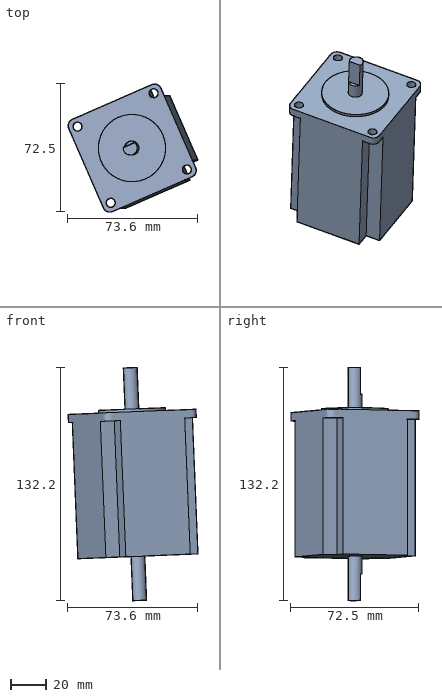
import cadquery as cq

spin_angle = 23.6
lean_angle = 2.33

flange_width = 57.0
flange_thickness = 4.8
flange_corner_radius = 4.0
hole_spacing = 47.1
hole_diameter = 5.0
pilot_diameter = 38.1
pilot_height = 1.6

motor_length = 82.0
body_width = flange_width
notch_size = 8.6
body_length = motor_length - flange_thickness

shaft_diameter = 8.0
shaft_extension = 25.0
flat_length = 15.1
flat_offset = 2.0
shaft_length = motor_length + 2 * shaft_extension
shaft_bottom = -motor_length - shaft_extension


def make_flange():
    plate = (
        cq.Workplane("XY")
        .rect(flange_width, flange_width)
        .extrude(-flange_thickness)
        .edges("|Z")
        .fillet(flange_corner_radius)
    )
    holes = (
        cq.Workplane("XY")
        .rect(hole_spacing, hole_spacing, forConstruction=True)
        .vertices()
        .circle(hole_diameter / 2)
        .extrude(-flange_thickness)
    )
    pilot = cq.Workplane("XY").circle(pilot_diameter / 2).extrude(pilot_height)
    return plate.cut(holes).union(pilot)


def make_body():
    """Two crossing blocks leave the four corner notches open."""
    arm_width = body_width - 2 * notch_size
    base = cq.Workplane("XY").workplane(offset=-motor_length)
    block_along_x = base.rect(body_width, arm_width).extrude(body_length)
    block_along_y = base.rect(arm_width, body_width).extrude(body_length)
    return block_along_x.union(block_along_y)


def make_shaft():
    shaft = (
        cq.Workplane("XY")
        .workplane(offset=shaft_bottom)
        .circle(shaft_diameter / 2)
        .extrude(shaft_length)
    )
    for flat_bottom in (shaft_bottom, shaft_extension - flat_length):
        cutter = cq.Workplane("XY").box(
            shaft_diameter, shaft_diameter, flat_length, centered=(True, False, False)
        )
        shaft = shaft.cut(cutter.translate((0, flat_offset, flat_bottom)))
    return shaft


motor = make_flange().union(make_body()).union(make_shaft())
result = (
    motor
    .rotate((0, 0, 0), (0, 0, 1), spin_angle)
    .rotate((0, 0, 0), (0, 1, 0), -lean_angle)
)